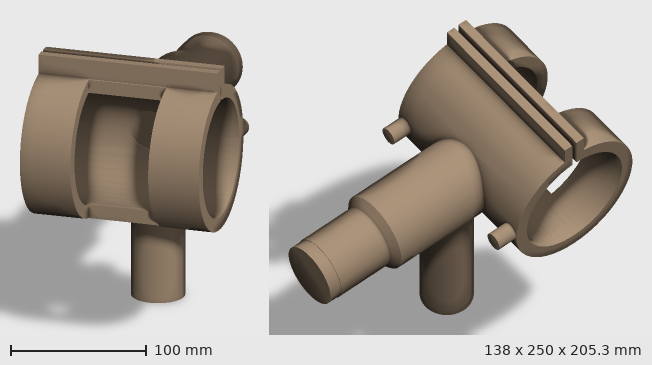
import cadquery as cq
import math

ring_length = 138.0
ring_outer_radius = 55.0
ring_bore_radius = 45.0

lug_thickness = 7.0
lug_height = 15.0
slot_width = 4.0
lugs_half_width = slot_width / 2 + lug_thickness
lug_base_z = math.sqrt(ring_outer_radius**2 - lugs_half_width**2)
lug_top_z = lug_base_z + lug_height

window_width = 60.0
window_edge_y = -10.0

stem_radius = 31.0
neck_radius = 25.0
shoulder_start_y = 133.0
shoulder_end_y = shoulder_start_y + stem_radius - neck_radius
stem_tip_y = 195.0

head_radius = 24.5
head_length = 10.0
head_start_y = stem_tip_y - head_length
shank_radius = 15.0
shank_end_y = ring_bore_radius

branch_radius = 20.0
branch_y = ring_bore_radius + branch_radius
branch_bottom_z = -136.0

peg_radius = 7.0
peg_offset_x = 61.5
peg_tip_y = 70.5


def rod_along_y(radius, start_y, end_y, x=0.0):
    """Solid cylinder parallel to Y between two Y positions, at height zero."""
    plane = cq.Plane(origin=(x, start_y, 0), xDir=(1, 0, 0), normal=(0, 1, 0))
    return cq.Workplane(plane).circle(radius).extrude(end_y - start_y)


def rod_along_x(radius, length):
    """Solid cylinder on the X axis, centred on the origin."""
    return cq.Workplane("YZ").workplane(offset=-length / 2).circle(radius).extrude(length)


def make_stem():
    """Stem with a conical shoulder stepping down to the neck."""
    profile = [
        (0, 0),
        (stem_radius, 0),
        (stem_radius, shoulder_start_y),
        (neck_radius, shoulder_end_y),
        (neck_radius, head_start_y),
        (0, head_start_y),
    ]
    return cq.Workplane("XY").polyline(profile).close().revolve(360, (0, 0, 0), (0, 1, 0))


def make_fitting():
    """Clamp ring with lugs, pegs, stem and branch, bored out for the plug."""
    body = rod_along_x(ring_outer_radius, ring_length)
    body = body.union(
        cq.Workplane("XY").box(ring_length, 2 * lugs_half_width, lug_top_z, centered=(True, True, False))
    )
    body = body.union(make_stem())
    branch = cq.Workplane("XY").center(0, branch_y).circle(branch_radius).extrude(branch_bottom_z)
    body = body.union(branch)
    for side in (-1, 1):
        body = body.union(rod_along_y(peg_radius, 0, peg_tip_y, side * peg_offset_x))

    body = body.cut(rod_along_x(ring_bore_radius, ring_length))
    body = body.cut(
        cq.Workplane("XY").box(ring_length, slot_width, lug_top_z, centered=(True, True, False))
    )
    window = (
        cq.Workplane("XY")
        .box(window_width, ring_outer_radius, 2 * ring_outer_radius, centered=(True, False, True))
        .translate((0, window_edge_y - ring_outer_radius, 0))
    )
    body = body.cut(window)
    return body.cut(rod_along_y(shank_radius, 0, head_start_y))


def make_plug():
    """Headed plug whose shank ends level with the back of the ring bore."""
    head = rod_along_y(head_radius, head_start_y, stem_tip_y)
    return head.union(rod_along_y(shank_radius, shank_end_y, head_start_y))


fitting = make_fitting()
plug = make_plug()

result = cq.Compound.makeCompound([fitting.solids().val(), plug.solids().val()])